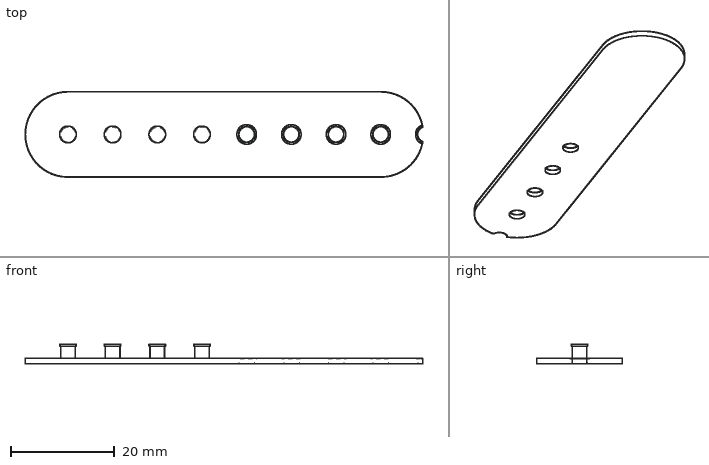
import cadquery as cq

pitch = 8.62
plate_width = 16.5
plate_thickness = 1.1
total_height = 3.8

pin_count = 4
pin_diameter = 2.85
bead_height = 0.4
bead_bulge = 0.19

hole_count = 5
hole_diameter = 2.98
recess_diameter = 3.78
recess_depth = 0.15

end_centre_distance = (pin_count + hole_count - 2) * pitch
first_station_x = -end_centre_distance / 2


def station_points(first, count):
    """Points on the row, counted in whole pitches from the first pin."""
    return [(first_station_x + i * pitch, 0) for i in range(first, first + count)]


def make_plate():
    return (
        cq.Workplane("XY")
        .slot2D(end_centre_distance + plate_width, plate_width)
        .extrude(plate_thickness)
    )


def make_pins():
    """Straight pins whose top edge swells into a rounded bead."""
    pin_radius = pin_diameter / 2
    bead_bottom = total_height - bead_height
    bead_middle = total_height - bead_height / 2
    pin = (
        cq.Workplane("XZ")
        .lineTo(pin_radius, 0)
        .lineTo(pin_radius, bead_bottom)
        .threePointArc((pin_radius + bead_bulge, bead_middle), (pin_radius, total_height))
        .lineTo(0, total_height)
        .close()
        .revolve(360, (0, 0), (0, 1))
        .val()
    )
    return cq.Workplane("XY").pushPoints(station_points(0, pin_count)).eachpoint(pin)


def cut_holes(plate):
    """Through holes with a shallow counterbored recess in the top face."""
    return (
        plate.faces(">Z")
        .workplane(origin=(0, 0, plate_thickness))
        .pushPoints(station_points(pin_count, hole_count))
        .cboreHole(hole_diameter, recess_diameter, recess_depth)
    )


result = cut_holes(make_plate()).union(make_pins())